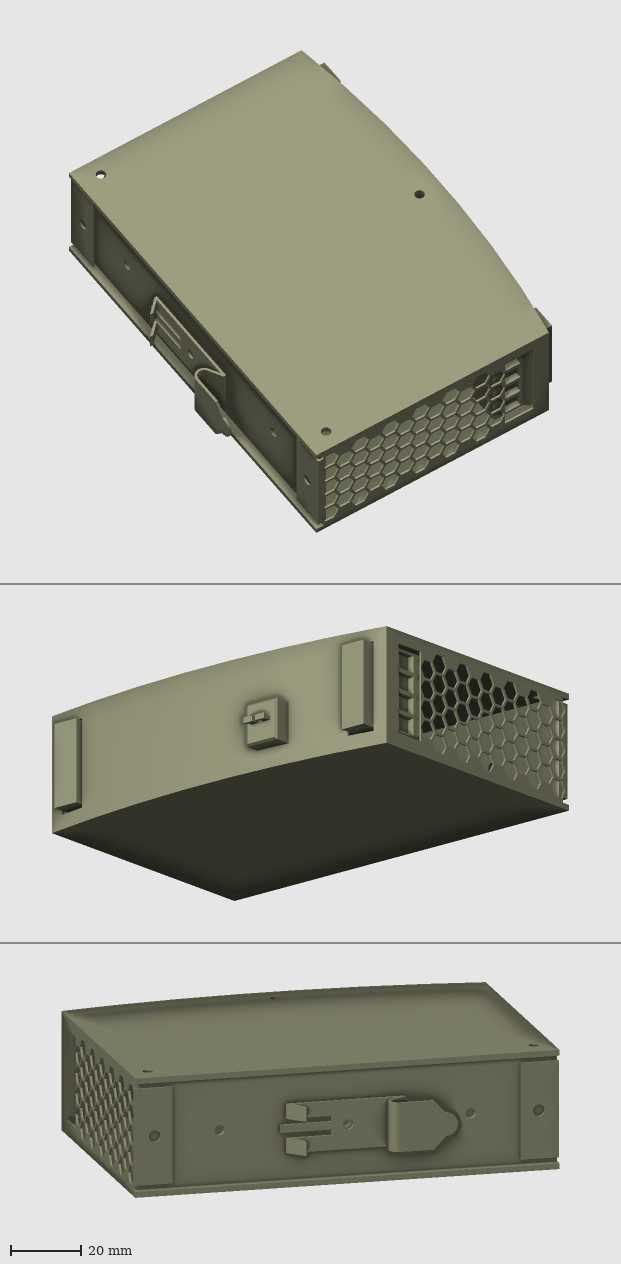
import cadquery as cq
import math

width = 125.0
height = 35.0
side_depth = 80.0
front_bulge = 5.4
total_depth = 101.02

plate_thickness = 1.7
back_thickness = 1.2
wall_thickness = 0.6
back_inset = 2.6

half_width = width / 2
inner_half_height = height / 2 - plate_thickness
crown = side_depth + front_bulge
front_radius = (half_width**2 + front_bulge**2) / (2 * front_bulge)

screw_hole = 3.0
plate_screws = [(-56.9, 7.2), (56.9, 7.2), (0, 78.0)]
back_screw_xs = (-37.0, 0, 37.0)

tab_inset = 0.7
tab_length = 11.1
tab_height = 28.4
tab_hole = 3.4
tab_hole_x = 56.6

hex_flats = 5.2
hex_pitch = 6.0
hex_column_pitch = hex_pitch * math.cos(math.radians(30))
hex_columns = 12
hex_first_y = 4.7
hex_rows_even = 5
hex_rows_odd = 4

terminal_height = 25.2
terminal_z = 0.6
opening_height = 26.8
opening_z = 0.25
nose_clearance = 0.3
terminal_side_inset = 2.0
terminal_nose_outer = 58.0
terminal_inner = 49.9
terminal_front = 84.8
terminal_back = 63.1
terminal_shoulder = 76.0
ramp_front = 74.7
ramp_back = 73.1
ramp_inset = 0.7
right_terminal_shift = -0.7
window_front = 74.7
window_back = 64.9
port_count = 4
port_pitch = 6.25
port_size_y = 6.3
port_size_z = 5.0
port_depth = 2.0
port_center_y = 69.1

plug_x = -23.95
plug_z = -5.3
contact_z = -4.95
plug_width = 11.1
plug_height = 12.5
plug_front = 89.85
plug_back = 80.0
plug_chamfer_depth = 0.8
plug_chamfer_inset = 0.6
contact_spacing = 4.4
contact_stem = (2.4, 1.0)
contact_head = (3.2, 1.7)
contact_head_thickness = 1.0

clip_thickness = 0.8
clip_width = 14.4
clip_base_top = 0.0
clip_base_end = 16.9
tongue_end = -19.9
tongue_width = 2.3
slot_width = 1.7
slot_end = -4.9
barb_root = -18.1
barb_tip = -13.6
barb_tip_y = -5.45
hook_center_x = 13.5
hook_radius = 2.8
hook_lean = 30.0
clip_foot = -8.0
foot_end = 30.35
foot_taper_start = 23.3
foot_tip_radius = 3.4

contact_tip = total_depth + clip_foot


def block(x0, x1, y0, y1, z0, z1):
    """Box between two opposite corners."""
    return cq.Workplane("XY").box(x1 - x0, y1 - y0, z1 - z0, centered=False).translate((x0, y0, z0))


def case_outline(inset, rear):
    """Plan outline with straight sides and a curved front, stepped in by inset."""
    x = half_width - inset
    radius = front_radius - inset
    corner_y = crown - front_radius + math.sqrt(radius**2 - x**2)
    return (
        cq.Workplane("XY")
        .moveTo(-x, rear)
        .lineTo(-x, corner_y)
        .threePointArc((0, crown - inset), (x, corner_y))
        .lineTo(x, rear)
        .close()
    )


def y_hole(diameter, x, y0, y1):
    """Round cutter along Y between y0 and y1, at mid height."""
    return cq.Workplane("XZ", origin=(x, y1, 0)).circle(diameter / 2).extrude(y1 - y0)


def make_back_plate():
    """Flat plate closing the rear, with three screw holes."""
    back_half_width = half_width - wall_thickness
    back_front = back_inset + back_thickness
    back_plate = block(
        -back_half_width, back_half_width, back_inset, back_front, -inner_half_height, inner_half_height
    )
    for x in back_screw_xs:
        back_plate = back_plate.cut(y_hole(screw_hole, x, back_inset, back_front))
    return back_plate


def vent_holes():
    """Hexagons through both side walls: columns of five and four in turn, points along Y."""
    centers = []
    for column in range(hex_columns):
        rows = hex_rows_even if column % 2 == 0 else hex_rows_odd
        for row in range(rows):
            centers.append((hex_first_y + column * hex_column_pitch, (row - (rows - 1) / 2) * hex_pitch))
    across_points = hex_flats / math.cos(math.radians(30))
    return (
        cq.Workplane("YZ", origin=(-half_width, 0, 0))
        .pushPoints(centers)
        .polygon(6, across_points)
        .extrude(width)
    )


def make_case():
    """Top, bottom, curved front and perforated sides, with tabs folded behind the back plate."""
    case = case_outline(0, 0).extrude(height).translate((0, 0, -height / 2))
    cavity = case_outline(wall_thickness, 0).extrude(2 * inner_half_height)
    rear_gap = block(-half_width, half_width, 0, back_inset, 0, 2 * inner_half_height)
    case = case.cut(cavity.union(rear_gap).translate((0, 0, -inner_half_height)))
    screws = cq.Workplane("XY").pushPoints(plate_screws).circle(screw_hole / 2).extrude(height / 2)
    case = case.cut(screws)

    half_tab = tab_height / 2
    for side in (-1, 1):
        outer = side * half_width
        wall = side * (half_width - wall_thickness)
        tab_end = side * (half_width - tab_length)
        strip = block(min(outer, wall), max(outer, wall), tab_inset, back_inset, -half_tab, half_tab)
        tab = block(
            min(outer, tab_end), max(outer, tab_end),
            tab_inset, tab_inset + wall_thickness,
            -half_tab, half_tab,
        )
        hole = y_hole(tab_hole, side * tab_hole_x, tab_inset, tab_inset + wall_thickness)
        case = case.union(strip).union(tab).cut(hole)

    case = case.cut(vent_holes())
    opening_bottom = opening_z - opening_height / 2
    opening_top = opening_z + opening_height / 2
    case = case.cut(
        block(-half_width, half_width, window_back, window_front, opening_bottom, opening_top)
    )
    for side in (-1, 1):
        near = side * (terminal_inner - nose_clearance)
        far = side * (terminal_nose_outer + nose_clearance)
        case = case.cut(
            block(min(near, far), max(near, far), terminal_shoulder, crown, opening_bottom, opening_top)
        )
    return case.cut(plug_body())


def make_terminal():
    """Left terminal block: nose through the front, ports facing the side window."""
    outer = -(half_width - terminal_side_inset)
    ramp_x = -(half_width - ramp_inset)
    profile = [
        (-terminal_inner, terminal_back),
        (outer, terminal_back),
        (outer, ramp_back),
        (ramp_x, ramp_front),
        (ramp_x, terminal_shoulder),
        (-terminal_nose_outer, terminal_shoulder),
        (-terminal_nose_outer, terminal_front),
        (-terminal_inner, terminal_front),
    ]
    body = cq.Workplane("XY").polyline(profile).close().extrude(terminal_height)
    body = body.translate((0, 0, -terminal_height / 2))
    ports = (
        cq.Workplane("YZ", origin=(outer, port_center_y, 0))
        .rarray(1, port_pitch, 1, port_count)
        .rect(port_size_y, port_size_z)
        .extrude(port_depth)
    )
    return body.cut(ports).translate((0, 0, terminal_z))


def plug_body():
    """Rectangular plug housing, chamfered around its front face."""
    return (
        cq.Workplane("XZ", origin=(plug_x, plug_back, plug_z))
        .rect(plug_width, plug_height)
        .extrude(plug_back - plug_front)
        .faces(">Y")
        .chamfer(plug_chamfer_depth, plug_chamfer_inset)
    )


def make_plug():
    """Plug housing with its two T-shaped contacts."""
    plug = plug_body()
    for side in (-1, 1):
        x = plug_x + side * contact_spacing / 2
        for size, length in ((contact_stem, contact_tip - plug_front), (contact_head, contact_head_thickness)):
            bar = cq.Workplane("XZ", origin=(x, contact_tip, contact_z)).rect(*size).extrude(length)
            plug = plug.union(bar)
    return plug


def clip_strip(profile):
    """Extrude a plan profile over the clip width."""
    return profile.extrude(clip_width).translate((0, 0, -clip_width / 2))


def make_clip():
    """Spring clip: flat base, two barbs beside a tongue, and a hook with a pointed foot."""
    base_bottom = clip_base_top - clip_thickness
    half_clip = clip_width / 2
    base = block(barb_root, clip_base_end, base_bottom, clip_base_top, -half_clip, half_clip)

    slope = math.atan2(barb_tip_y - base_bottom, barb_tip - barb_root)
    across = clip_thickness / abs(math.sin(slope))
    barb = clip_strip(
        cq.Workplane("XY").polyline([
            (barb_root, base_bottom),
            (barb_root + across, base_bottom),
            (barb_tip, barb_tip_y + clip_thickness / abs(math.cos(slope))),
            (barb_tip, barb_tip_y),
        ]).close()
    )

    center_y = clip_foot + hook_radius
    inner_radius = hook_radius - clip_thickness
    lean = math.radians(hook_lean)

    def on_hook(radius, angle):
        return (hook_center_x + radius * math.cos(angle), center_y + radius * math.sin(angle))

    def lean_to_base(radius):
        x, y = on_hook(radius, lean + math.pi / 2)
        return (x + (base_bottom - y) / math.tan(lean), base_bottom)

    hook = clip_strip(
        cq.Workplane("XY")
        .moveTo(*lean_to_base(hook_radius))
        .lineTo(*on_hook(hook_radius, lean + math.pi / 2))
        .threePointArc(on_hook(hook_radius, math.pi), on_hook(hook_radius, -math.pi / 2))
        .lineTo(foot_end, clip_foot)
        .lineTo(foot_end, clip_foot + clip_thickness)
        .lineTo(*on_hook(inner_radius, -math.pi / 2))
        .threePointArc(on_hook(inner_radius, math.pi), on_hook(inner_radius, lean + math.pi / 2))
        .lineTo(*lean_to_base(inner_radius))
        .close()
    )
    clip = base.union(barb).union(hook)

    tip_x = foot_end - foot_tip_radius
    outline = (
        cq.Workplane("XZ", origin=(0, clip_base_top, 0))
        .moveTo(barb_root, -half_clip)
        .lineTo(foot_taper_start, -half_clip)
        .lineTo(tip_x, -foot_tip_radius)
        .threePointArc((foot_end, 0), (tip_x, foot_tip_radius))
        .lineTo(foot_taper_start, half_clip)
        .lineTo(barb_root, half_clip)
        .close()
        .extrude(clip_base_top - clip_foot)
    )
    clip = clip.intersect(outline)

    slot_half = tongue_width / 2 + slot_width
    clip = clip.cut(block(barb_root, slot_end, clip_foot, clip_base_top, -slot_half, slot_half))
    tongue_half = tongue_width / 2
    clip = clip.union(block(tongue_end, slot_end, base_bottom, clip_base_top, -tongue_half, tongue_half))
    return clip.cut(y_hole(screw_hole, 0, base_bottom, clip_base_top))


case = make_case()
back_plate = make_back_plate()
left_terminal = make_terminal()
right_terminal = make_terminal().mirror("YZ").translate((0, right_terminal_shift, 0))
plug = make_plug()
clip = make_clip()

result = cq.Compound.makeCompound([
    case.val(),
    back_plate.val(),
    left_terminal.val(),
    right_terminal.val(),
    plug.val(),
    clip.val(),
])